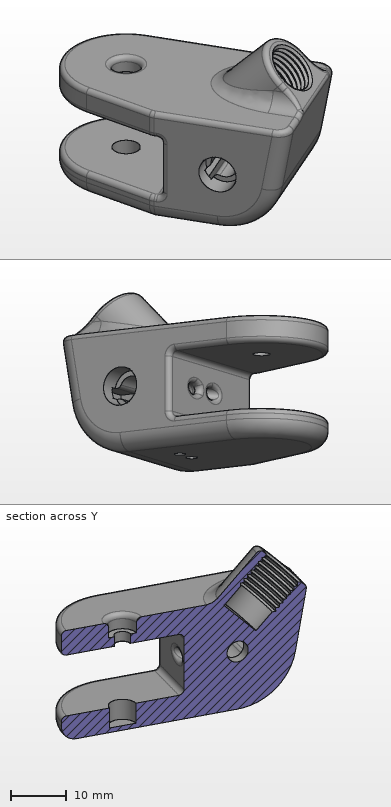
import cadquery as cq
import math


body_height = 22.0
nose_radius = 12.0
near_side = -16.0
corner_x = 10.0
arm_thickness = 5.0
slot_end_x = 12.0
slot_corner_radius = 1.0
rounding = 1.0
top_rounding = 0.95
heavy_rounding = 3.0

cross_x = 22.5
cross_z = 11.5
rear_radius = 11.5
rear_tilt = 10

boss_radius = 6.5
boss_drop = 6.45
boss_tilt = 45
boss_blend = 3.0

thread_major = 4.85
thread_minor = 4.35
thread_pitch = 1.0
thread_turns = 8
groove_share = 0.9
bore_depth = 12.0

head_radius = 2.7
head_depth = 3.0
pin_radius = 1.55
socket_radius = 2.55
socket_depth = 4.0

pocket_radius = 3.5
pocket_depth = 4.0
recess_radius = 2.5
cross_radius = 2.0
web_half = 2.0
key_width = 2.0
key_offset = -0.5
key_angles = (0, -135)
key_rounding = 0.95
key_start = 2.95
key_reach = 6.0

cord_radius = 1.0
cord_y = 2.0
cord_bend = 2.0
cord_run = 2.0
cord_rounding = 1.0

full_width = nose_radius - near_side
tall = 2 * body_height
rear_angle = math.radians(rear_tilt)
boss_angle = math.radians(boss_tilt)


def rear_wall_x(z):
    """X of the flat part of the rear wall at a height."""
    return cross_x + rear_radius / math.cos(rear_angle) + (z - cross_z) * math.tan(rear_angle)


rear_top_x = rear_wall_x(body_height)
boss_plane = cq.Plane(
    origin=(
        rear_top_x - boss_drop * math.cos(boss_angle),
        0,
        body_height + boss_drop * math.sin(boss_angle),
    ),
    xDir=(0, 1, 0),
    normal=(math.sin(boss_angle), 0, math.cos(boss_angle)),
)


def nearest(x, y, z):
    return cq.NearestToPointSelector((x, y, z))


def make_envelope():
    """Tall body: plan outline crossed with the side profile, underside and rear rounded."""
    reach = math.hypot(corner_x, near_side)
    tangent_angle = math.atan2(near_side, corner_x) - math.acos(nose_radius / reach)
    flank_start = (nose_radius * math.cos(tangent_angle), nose_radius * math.sin(tangent_angle))
    plan = (
        cq.Workplane("XY")
        .moveTo(0, nose_radius)
        .threePointArc((-nose_radius, 0), flank_start)
        .lineTo(corner_x, near_side)
        .lineTo(rear_wall_x(tall), near_side)
        .lineTo(rear_wall_x(tall), nose_radius)
        .close()
        .extrude(tall)
        .edges(nearest(corner_x, near_side, tall / 2))
        .fillet(heavy_rounding)
    )

    def rear_point(angle):
        return (cross_x + rear_radius * math.cos(angle), cross_z + rear_radius * math.sin(angle))

    profile = (
        cq.Workplane("XZ", origin=(0, nose_radius, 0))
        .moveTo(-nose_radius, 0)
        .lineTo(cross_x, 0)
        .threePointArc(rear_point(-(math.pi / 2 + rear_angle) / 2), rear_point(-rear_angle))
        .lineTo(rear_wall_x(tall), tall)
        .lineTo(-nose_radius, tall)
        .close()
        .extrude(full_width)
    )
    underside_edge = nearest((corner_x + cross_x) / 2, near_side, 0)
    return plan.intersect(profile).edges(underside_edge).fillet(heavy_rounding)


def make_top_form():
    """Oversized plate with the boss blended into it, cut off at the boss end face."""
    length = 2 * (rear_top_x + nose_radius)
    block = cq.Workplane("XY").box(length, 2 * full_width, tall, centered=(True, True, False))
    plate = block.intersect(block.translate((0, 0, body_height - tall)))
    boss = (
        cq.Workplane(boss_plane)
        .moveTo(boss_radius, 0)
        .threePointArc((0, boss_radius), (-boss_radius, 0))
        .lineTo(-boss_radius, -body_height)
        .lineTo(boss_radius, -body_height)
        .close()
        .extrude(body_height, both=True)
        .intersect(block)
    )
    seam = nearest(rear_top_x, boss_radius, body_height)
    beyond_end_face = cq.Workplane(boss_plane).rect(2 * length, 2 * length).extrude(length)
    return plate.union(boss).edges(seam).fillet(boss_blend).cut(beyond_end_face)


def round_top(body):
    rim = nearest(corner_x, nose_radius, body_height)
    boss_crest = boss_plane.toWorldCoords((0, boss_radius, 0))
    return (
        body.edges(rim).fillet(top_rounding)
        .edges(cq.NearestToPointSelector(boss_crest)).fillet(top_rounding)
    )


def cut_slot(body):
    slot = (
        cq.Workplane("XY")
        .box(2 * nose_radius + slot_end_x, 2 * full_width, body_height - 2 * arm_thickness)
        .translate((slot_end_x / 2 - nose_radius, 0, body_height / 2))
        .edges(">X and |Y")
        .fillet(slot_corner_radius)
    )
    rim = nearest(slot_end_x, near_side, body_height / 2)
    return body.cut(slot).edges(rim).fillet(rounding)


def cut_threaded_hole(body):
    """Blind bore with ring grooves standing in for the thread."""
    body = body.cut(cq.Workplane(boss_plane).circle(thread_minor).extrude(-bore_depth))
    half_groove = groove_share / 2 * thread_pitch
    axial_plane = cq.Plane(origin=boss_plane.origin, xDir=boss_plane.zDir, normal=boss_plane.yDir)
    for turn in range(thread_turns):
        depth = turn * thread_pitch
        groove = (
            cq.Workplane(axial_plane)
            .moveTo(-depth - half_groove, 0)
            .lineTo(-depth - half_groove, thread_minor)
            .lineTo(-depth, thread_major)
            .lineTo(-depth + half_groove, thread_minor)
            .lineTo(-depth + half_groove, 0)
            .close()
            .revolve(360, (0, 0), (1, 0))
        )
        body = body.cut(groove)
    return body


def cut_pin_holes(body):
    head = cq.Workplane("XY", origin=(0, 0, body_height)).circle(head_radius).extrude(-head_depth)
    pin = cq.Workplane("XY", origin=(0, 0, body_height)).circle(pin_radius).extrude(-body_height / 2)
    socket = (
        cq.Workplane("XY", origin=(0, 0, arm_thickness)).circle(socket_radius).extrude(-socket_depth)
    )
    body = body.cut(head)
    body = body.edges(nearest(0, 0, body_height)).fillet(rounding)
    return body.cut(pin).cut(socket)


def cut_cross_hole(body):
    through = (
        cq.Workplane("XZ", origin=(cross_x, nose_radius, cross_z))
        .circle(cross_radius)
        .extrude(full_width)
    )
    body = body.cut(through)

    def at_recess_rim(edge):
        spot = edge.Center()
        return math.hypot(spot.x - cross_x, spot.z - cross_z) < pocket_radius

    for wall_y, inward in ((near_side, 1), (nose_radius, -1)):
        wall = cq.Workplane("XZ", origin=(cross_x, wall_y, cross_z))
        key_top = cq.Workplane("XZ", origin=(cross_x, wall_y + inward * key_start, cross_z))
        key_depth = abs(wall_y) - web_half - key_start
        recess = key_top.circle(recess_radius).extrude(-inward * key_depth)
        for angle in key_angles:
            key = (
                key_top.center(key_reach / 2, key_offset)
                .rect(key_reach, key_width)
                .extrude(-inward * key_depth)
                .rotate((cross_x, 0, cross_z), (cross_x, 1, cross_z), -angle)
            )
            recess = recess.union(key)
        recess = recess.edges("|Y").filter(at_recess_rim).fillet(key_rounding)
        pocket = wall.circle(pocket_radius).extrude(-inward * pocket_depth)
        body = body.cut(pocket).cut(recess)
    return body


def cut_cord_passages(body):
    """Two passages: a 45 degree mouth in the slot wall, a straight run and a bore to the underside."""
    for side in (1, -1):
        bend = (slot_end_x + cord_bend, side * cord_y, cross_z)
        slanted = (
            cq.Workplane(cq.Plane(origin=bend, xDir=(0, 0, 1), normal=(-1, side, 0)))
            .circle(cord_radius)
            .extrude(3 * cord_bend)
        )
        mouth = nearest(slot_end_x, side * (cord_y + cord_bend), cross_z)
        body = body.cut(slanted).edges(mouth).fillet(cord_rounding)
        elbow = cq.Workplane("XY").sphere(cord_radius).translate(bend)
        straight = cq.Workplane("YZ", origin=bend).circle(cord_radius).extrude(cord_run)
        drop = (
            cq.Workplane("XY", origin=(bend[0] + cord_run, bend[1], 0))
            .circle(cord_radius)
            .extrude(cross_z + cord_radius)
        )
        body = body.cut(elbow).cut(straight).cut(drop)
    return body


body = round_top(make_envelope().intersect(make_top_form()))
body = cut_slot(body)
body = cut_cord_passages(body)
body = cut_pin_holes(body)
body = cut_cross_hole(body)
result = cut_threaded_hole(body)